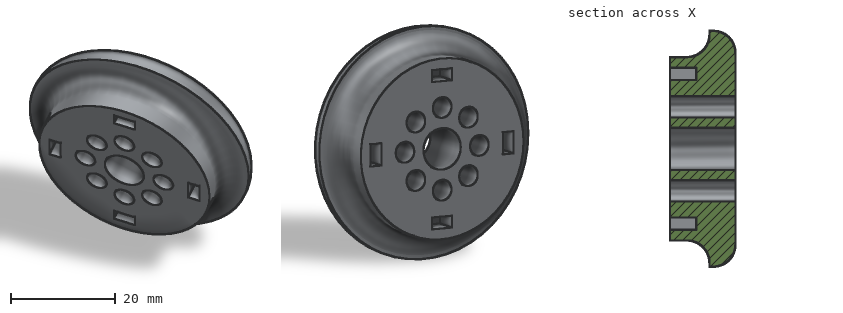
import cadquery as cq

hub_diameter = 35.0
rim_diameter = 45.0
hub_height = 7.5
rim_thickness = 5.0
edge_land = 0.75

hub_radius = hub_diameter / 2
rim_radius = rim_diameter / 2
total_height = hub_height + rim_thickness
cove_radius = rim_radius - hub_radius - edge_land
rim_round_radius = rim_thickness - edge_land

bore_diameter = 8.0
bolt_hole_diameter = 4.0
bolt_circle_diameter = 16.0
bolt_hole_count = 8

pocket_width = 4.3
pocket_thickness = 2.3
pocket_depth = 5.0
pocket_center_radius = 14.25
pocket_count = 4


def make_body():
    """Revolve the hub with its cove and the rim about the Y axis, then round the back edge."""
    half_profile = (
        cq.Workplane("XY")
        .lineTo(hub_radius, 0)
        .lineTo(hub_radius, hub_height - cove_radius)
        .radiusArc((hub_radius + cove_radius, hub_height), cove_radius)
        .lineTo(rim_radius, hub_height)
        .lineTo(rim_radius, total_height)
        .lineTo(0, total_height)
        .close()
    )
    body = half_profile.revolve(360, (0, 0, 0), (0, 1, 0))
    return body.faces(">Y").edges().fillet(rim_round_radius)


def hub_face_plane():
    """Plane on the hub face, with its normal pointing into the part (+Y)."""
    return cq.Workplane(cq.Plane(origin=(0, 0, 0), xDir=(1, 0, 0), normal=(0, 1, 0)))


def make_holes():
    """Central bore and the ring of bolt holes, through the full height."""
    bore = hub_face_plane().circle(bore_diameter / 2).extrude(total_height)
    bolt_holes = (
        hub_face_plane()
        .polarArray(bolt_circle_diameter / 2, 0, 360, bolt_hole_count)
        .circle(bolt_hole_diameter / 2)
        .extrude(total_height)
    )
    return bore.union(bolt_holes)


def make_pockets():
    """Rectangular pockets spaced evenly around the hub face."""
    return (
        hub_face_plane()
        .polarArray(pocket_center_radius, 0, 360, pocket_count)
        .rect(pocket_thickness, pocket_width)
        .extrude(pocket_depth)
    )


result = make_body().cut(make_holes()).cut(make_pockets())